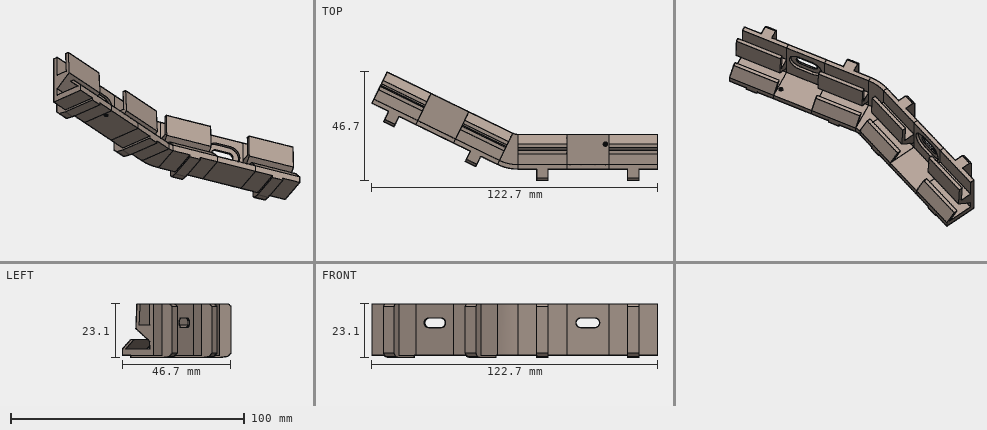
import cadquery as cq


bend_angle = 26.0
bend_radius = 20.0
clip_length = 21.0
block_length = 18.0
block_start = clip_length
second_clip_start = clip_length + block_length
arm_length = second_clip_start + clip_length

rail_depth = 15.0
rail_height = 22.1
wall_thickness = 2.0
base_thickness = 2.8

lip_rise = 4.0
lip_width = 1.6
tab_thickness = 1.6
tab_foot_depth = 8.6
tab_foot_height = 11.5
tab_lean = 0.5
groove_floor = 13.0
web_root_height = 6.0

rib_width = 5.0
rib_reach = 4.9
rib_drop = 1.0
rib_top_chamfer = 1.1
rib_bottom_chamfer = 1.5
rib_toe_drop = 0.5

slot_length = 10.1
slot_width = 4.0
slot_height = 14.0
slot_lip = 0.7
recess_border = 2.6

hole_diameter = 1.7
pin_diameter = 0.7
hole_from_block_end = 1.5
hole_depth = 10.8


def extrude_section(points, start, length):
    """Extrude a closed (depth, height) outline along X from the given start."""
    return cq.Workplane("YZ", origin=(start, 0, 0)).polyline(points).close().extrude(length)


plain_section = [
    (0, 0),
    (rail_depth, 0),
    (rail_depth, base_thickness),
    (wall_thickness, base_thickness),
    (wall_thickness, rail_height),
    (0, rail_height),
]

lip_top = base_thickness + lip_rise
tab_rear_top = tab_foot_depth - tab_lean
tab_front_foot = tab_foot_depth - tab_thickness
clip_section = [
    (0, 0),
    (rail_depth, 0),
    (rail_depth, base_thickness),
    (rail_depth - lip_rise, lip_top),
    (rail_depth - lip_rise - lip_width, lip_top),
    (rail_depth - lip_width, base_thickness),
    (wall_thickness, base_thickness),
    (wall_thickness, web_root_height),
    (tab_foot_depth, tab_foot_height),
    (tab_rear_top, rail_height),
    (tab_rear_top - tab_thickness, rail_height),
    (tab_front_foot, groove_floor),
    (wall_thickness, groove_floor),
    (wall_thickness, rail_height),
    (0, rail_height),
]

rib_section = [
    (0, 0),
    (0, rail_height),
    (rib_top_chamfer - rib_reach, rail_height),
    (-rib_reach, rail_height - rib_top_chamfer),
    (-rib_reach, rib_bottom_chamfer - rib_toe_drop),
    (rib_bottom_chamfer - rib_reach, -rib_toe_drop),
    (0, -rib_drop),
    (rail_depth, -rib_drop),
    (rail_depth, 0),
]


def make_clip(start):
    body = extrude_section(clip_section, start, clip_length)
    rib = extrude_section(rib_section, start + (clip_length - rib_width) / 2, rib_width)
    return body.union(rib)


def slot_sketch(start, border):
    """Rounded slot outline on the rear face of the wall, grown all round by the border."""
    return (
        cq.Workplane("XZ", origin=(start + block_length / 2, wall_thickness, slot_height))
        .slot2D(slot_length + 2 * border, slot_width + 2 * border)
    )


def make_block(start):
    slot = slot_sketch(start, 0).extrude(wall_thickness)
    recess = slot_sketch(start, recess_border).extrude(wall_thickness - slot_lip)
    return extrude_section(plain_section, start, block_length).cut(slot).cut(recess)


def make_bend():
    """Revolve the plain section about the vertical axis at the bend centre, from X = 0 toward -X."""
    return (
        cq.Workplane("YZ")
        .polyline(plain_section)
        .close()
        .revolve(bend_angle, (bend_radius, 0, 0), (bend_radius, -1, 0))
    )


def to_left_arm(body):
    """Carry a body from the right arm to its mirrored place along the left arm."""
    centre = (0, bend_radius, 0)
    turned_axis = (0, bend_radius, 1)
    return body.translate((-arm_length, 0, 0)).rotate(centre, turned_axis, -bend_angle)


clips = []
for clip_start in (0, second_clip_start):
    clips.append(make_clip(clip_start))
    clips.append(to_left_arm(make_clip(clip_start)))

hole_x = block_start + block_length - hole_from_block_end


def round_bar(diameter):
    """Upright round bar through the base at the hole position."""
    return (
        cq.Workplane("XY", origin=(hole_x, hole_depth, 0))
        .circle(diameter / 2)
        .extrude(base_thickness)
    )


right_block = make_block(block_start).cut(round_bar(hole_diameter))
left_block = to_left_arm(make_block(block_start))
pin = round_bar(pin_diameter)
bend = make_bend()

result = cq.Compound.makeCompound(
    [clip.val() for clip in clips]
    + [right_block.val(), left_block.val(), bend.val(), pin.val()]
)